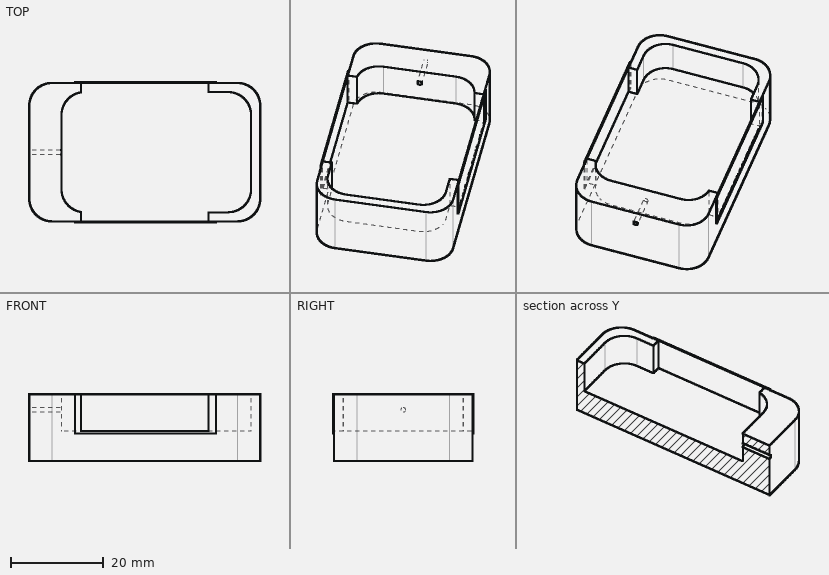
import cadquery as cq

length = 50.0
width = 30.0
height = 14.5
corner_radius = 5.0

thick_end_wall = 7.0
wall = 2.0
pocket_depth = 8.0
floor_height = height - pocket_depth
pocket_length = length - thick_end_wall - wall
pocket_width = width - 2 * wall

window_length = 27.5
window_center_x = length / 2

panel_thickness = 0.2
panel_start_x = 9.9
panel_length = 30.45
panel_height = 8.5

hole_diameter = 1.0
hole_drop = 3.4


def rounded_block(size_x, size_y, size_z, start_x, base_z):
    """Block with rounded vertical edges, centred on Y."""
    return (
        cq.Workplane("XY", origin=(start_x + size_x / 2, 0, base_z))
        .rect(size_x, size_y)
        .extrude(size_z)
        .edges("|Z")
        .fillet(corner_radius)
    )


def make_housing():
    block = rounded_block(length, width, height, 0, 0)
    pocket = rounded_block(pocket_length, pocket_width, pocket_depth, thick_end_wall, floor_height)
    windows = (
        cq.Workplane("XY", origin=(window_center_x, 0, floor_height))
        .rect(window_length, width)
        .extrude(pocket_depth)
    )
    end_hole = (
        cq.Workplane("YZ", origin=(0, 0, height - hole_drop))
        .circle(hole_diameter / 2)
        .extrude(thick_end_wall)
    )
    return block.cut(pocket).cut(windows).cut(end_hole)


def make_panel(side):
    """Panel on the outside of one long wall; side is -1 or +1 along Y."""
    center_y = side * (width + panel_thickness) / 2
    return (
        cq.Workplane("XY", origin=(panel_start_x + panel_length / 2, center_y, height - panel_height))
        .rect(panel_length, panel_thickness)
        .extrude(panel_height)
    )


housing = make_housing()
panels = [make_panel(side) for side in (-1, 1)]

result = cq.Compound.makeCompound([housing.val(), *[panel.val() for panel in panels]])